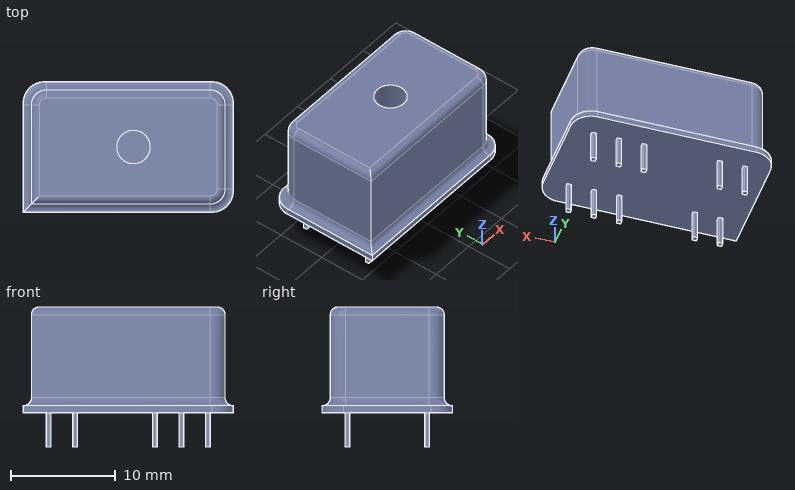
import cadquery as cq

OVERALL_HEIGHT = 13.42

FLANGE_LENGTH = 20.12
FLANGE_WIDTH = 12.5
FLANGE_THICKNESS = 0.7
FLANGE_CORNER_RADIUS = 2.05

FLANGE_MARGIN = 0.79
CAN_LENGTH = FLANGE_LENGTH - 2 * FLANGE_MARGIN
CAN_WIDTH = FLANGE_WIDTH - 2 * FLANGE_MARGIN
CAN_TOP = 10.15
CAN_CORNER_RADIUS = 1.45
CAN_EDGE_RADIUS = 0.77

HOLE_DIAMETER = 3.2
HOLE_DEPTH = 3.0
HOLE_X = 0.5

PIN_PITCH = 2.54
PIN_GRID_COLUMNS = (-3, -2, 1, 2, 3)
PIN_ROW_OFFSET = 1.5 * PIN_PITCH
PIN_SIZE = 0.47
PIN_EDGE_RADIUS = 0.1
PIN_LENGTH = OVERALL_HEIGHT - CAN_TOP


def keyed_block(length, width, height, corner_radius):
    """Block with three rounded upright edges; the (-X, -Y) edge stays sharp as the pin 1 mark."""
    block = cq.Workplane("XY").box(length, width, height, centered=(True, True, False))
    block = block.edges("|Z and (>X or >Y)").fillet(corner_radius)
    return block


def make_housing():
    """Flange and can in one body, with the can's foot flared and its top edge rounded."""
    flange = keyed_block(FLANGE_LENGTH, FLANGE_WIDTH, FLANGE_THICKNESS, FLANGE_CORNER_RADIUS)
    can = keyed_block(CAN_LENGTH, CAN_WIDTH, CAN_TOP, CAN_CORNER_RADIUS)
    housing = flange.union(can)

    flange_top = housing.faces(cq.selectors.NearestToPointSelector((0, 0, FLANGE_THICKNESS)))
    foot = flange_top.val().innerWires()[0]
    housing = housing.newObject(foot.Edges()).fillet(CAN_EDGE_RADIUS)
    return housing.faces(">Z").edges().fillet(CAN_EDGE_RADIUS)


def make_hole():
    """Cutter for the blind opening in the top of the can."""
    top = cq.Workplane("XY").workplane(offset=CAN_TOP)
    return top.center(HOLE_X, 0).circle(HOLE_DIAMETER / 2).extrude(-HOLE_DEPTH)


def make_pins():
    """Two mirrored rows of square pins with rounded upright edges."""
    positions = [
        (column * PIN_PITCH, side * PIN_ROW_OFFSET)
        for column in PIN_GRID_COLUMNS
        for side in (-1, 1)
    ]
    pins = cq.Workplane("XY").pushPoints(positions).rect(PIN_SIZE, PIN_SIZE).extrude(-PIN_LENGTH)
    return pins.edges("|Z").fillet(PIN_EDGE_RADIUS)


result = make_housing().cut(make_hole()).union(make_pins())